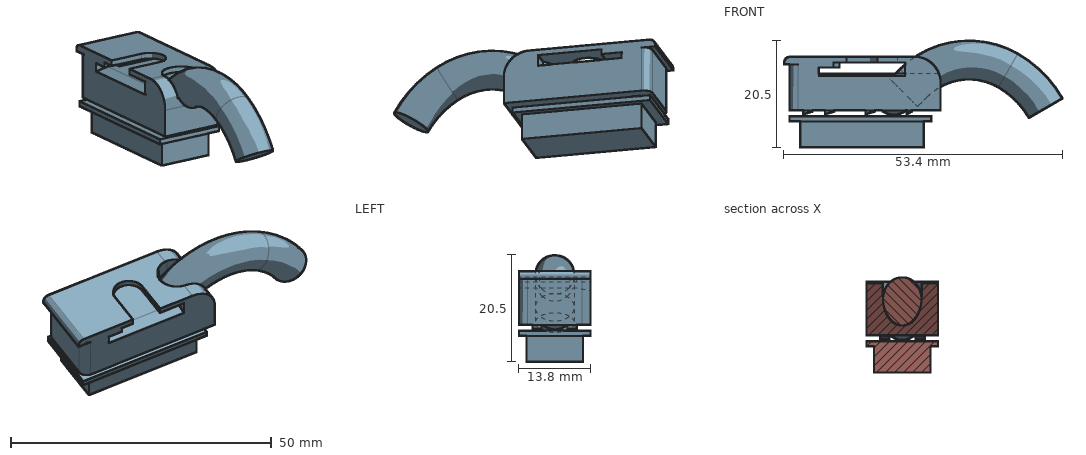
import cadquery as cq
import math

width = 13.8
block_length = 23.7
block_width = 10.9
block_height = 5.0
block_start_x = 3.1
plate_length = 27.25
plate_thickness = 1.0
plate_start_x = 1.0

housing_length = 30.0
housing_bottom = 7.1
housing_top = 17.4
lip_overhang = plate_start_x
lip_thickness = 1.5
lip_radius = 1.2
corner_radius = 1.65
rear_radius = 4.95

slot_start_x = 6.7
slot_end_x = 23.25
slot_floor = 14.15
slot_low_ceiling = 15.35
slot_ceiling = 16.3
mouth_step_x = 9.5
inner_step_x = 10.7
sill_drop = 0.5
sill_depth = 2.7

opening_width = 6.0
opening_center_x = 14.95
opening_depth = 9.9

cable_radius = 3.75
cable_top = 20.5
first_bend_x = 35.45
first_bend_radius = 15.0
second_bend_radius = 19.7
root_angle = 135
seam_angle = 60
end_angle = 30
root_length = 2.65

notch_start_x = 21.8

tab_places = [(3.7, 1.8, 3.4), (7.85, 1.8, -3.3), (15.6, 1.8, -3.3), (23.5, 1.0, -3.3)]
tab_width = 1.8
tab_drop = 0.75
tab_tail_drop = 0.2

dome_center_x = 21.05
dome_radius = 2.35
dome_drop = 0.85

front_y = -width / 2


def box_between(x_range, y_range, z_range):
    """Box given by its limits along each axis."""
    x0, x1 = x_range
    y0, y1 = y_range
    z0, z1 = z_range
    return cq.Workplane("XY").box(x1 - x0, y1 - y0, z1 - z0, centered=False).translate((x0, y0, z0))


def point_on_arc(center, radius, angle):
    """Point at an angle in degrees, counted from +X toward +Z."""
    turn = math.radians(angle)
    return (center[0] + radius * math.cos(turn), center[1] + radius * math.sin(turn))


def make_plug():
    block = box_between(
        (block_start_x, block_start_x + block_length),
        (-block_width / 2, block_width / 2),
        (0, block_height),
    )
    plate = box_between(
        (plate_start_x, plate_start_x + plate_length),
        (-width / 2, width / 2),
        (block_height, block_height + plate_thickness),
    )
    return block.union(plate)


def make_cable():
    first_center = (first_bend_x, cable_top - cable_radius - first_bend_radius)
    second_center = point_on_arc(first_center, first_bend_radius - second_bend_radius, seam_angle)

    bend_start = point_on_arc(first_center, first_bend_radius, root_angle)
    first_middle = point_on_arc(first_center, first_bend_radius, (root_angle + seam_angle) / 2)
    seam = point_on_arc(first_center, first_bend_radius, seam_angle)
    second_middle = point_on_arc(second_center, second_bend_radius, (seam_angle + end_angle) / 2)
    cable_end = point_on_arc(second_center, second_bend_radius, end_angle)

    root = point_on_arc(bend_start, root_length, root_angle + 90)
    path = (
        cq.Workplane("XZ")
        .moveTo(*root)
        .lineTo(*bend_start)
        .threePointArc(first_middle, seam)
        .threePointArc(second_middle, cable_end)
    )
    root_plane = cq.Plane(
        origin=(root[0], 0, root[1]),
        xDir=(0, 1, 0),
        normal=(bend_start[0] - root[0], 0, bend_start[1] - root[1]),
    )
    return cq.Workplane(root_plane).circle(cable_radius).sweep(path)


def make_shell():
    lip_bottom = housing_top - lip_thickness
    body = box_between(
        (lip_overhang, housing_length), (-width / 2, width / 2), (housing_bottom, lip_bottom)
    )
    body = body.edges("|Z and <X").fillet(corner_radius)
    roof = box_between((0, housing_length), (-width / 2, width / 2), (lip_bottom, housing_top))
    roof = roof.edges("|Y and <X and >Z").fillet(lip_radius)
    shell = body.union(roof)
    return shell.edges("|Y and >X and >Z").fillet(rear_radius)


def make_slot():
    across = (-width / 2, width / 2)
    low_part = box_between((slot_start_x, slot_end_x), across, (slot_floor, slot_low_ceiling))
    high_part = box_between((inner_step_x, slot_end_x), across, (slot_low_ceiling, slot_ceiling))
    mouth_step = box_between(
        (mouth_step_x, inner_step_x),
        (front_y, front_y + sill_depth),
        (slot_low_ceiling, slot_ceiling),
    )
    sill = (
        cq.Workplane("YZ", origin=(slot_start_x, 0, 0))
        .moveTo(front_y, slot_floor)
        .lineTo(front_y, slot_floor - sill_drop)
        .lineTo(front_y + sill_depth, slot_floor)
        .close()
        .extrude(slot_end_x - slot_start_x)
    )
    return low_part.union(high_part).union(mouth_step).union(sill)


def make_roof_opening():
    half_width = opening_width / 2
    left_x = opening_center_x - half_width
    right_x = opening_center_x + half_width
    tip_y = front_y + opening_depth
    return (
        cq.Workplane("XY", origin=(0, 0, slot_ceiling))
        .moveTo(left_x, front_y)
        .lineTo(right_x, front_y)
        .lineTo(right_x, tip_y - half_width)
        .threePointArc((opening_center_x, tip_y), (left_x, tip_y - half_width))
        .close()
        .extrude(housing_top - slot_ceiling)
    )


def make_notch():
    round_center_x = notch_start_x + cable_radius
    return (
        cq.Workplane("XY", origin=(0, 0, slot_floor))
        .moveTo(housing_length, -cable_radius)
        .lineTo(round_center_x, -cable_radius)
        .threePointArc((notch_start_x, 0), (round_center_x, cable_radius))
        .lineTo(housing_length, cable_radius)
        .close()
        .extrude(housing_top - slot_floor)
    )


def make_tab(start_x, length, center_y):
    return (
        cq.Workplane("XZ", origin=(start_x, center_y + tab_width / 2, housing_bottom))
        .lineTo(0, -tab_drop)
        .lineTo(length, -tab_tail_drop)
        .lineTo(length, 0)
        .close()
        .extrude(tab_width)
    )


def make_dome():
    sphere_radius = (dome_radius**2 + dome_drop**2) / (2 * dome_drop)
    half_x = dome_radius / 2
    half_z = sphere_radius - dome_drop - math.sqrt(sphere_radius**2 - half_x**2)
    return (
        cq.Workplane("XZ", origin=(dome_center_x, 0, housing_bottom))
        .lineTo(0, -dome_drop)
        .threePointArc((half_x, half_z), (dome_radius, 0))
        .close()
        .revolve(360, (0, 0, 0), (0, 1, 0))
    )


def make_housing(cable):
    body = make_shell()
    for start_x, length, center_y in tab_places:
        body = body.union(make_tab(start_x, length, center_y))
    body = body.union(make_dome())
    body = body.cut(make_slot()).cut(make_roof_opening()).cut(make_notch())
    return body.cut(cable)


plug = make_plug()
cable = make_cable()
housing = make_housing(cable)

result = cq.Compound.makeCompound([plug.solids().val(), cable.val(), housing.solids().val()])